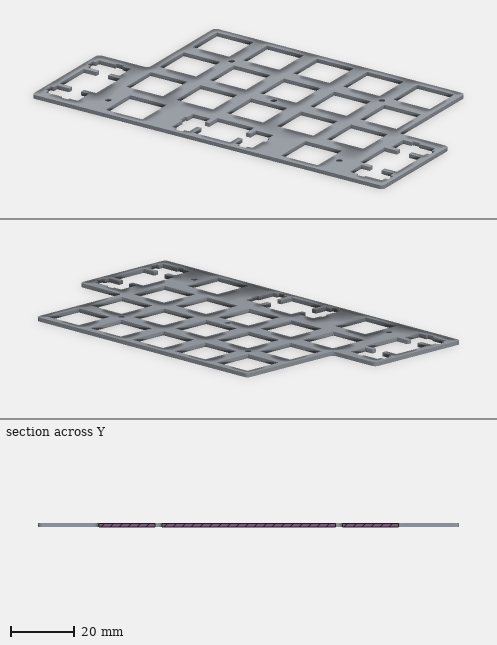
import cadquery as cq

plate_width = 133.4
key_pitch = plate_width / 7
plate_depth = 4 * key_pitch
upper_width = 5 * key_pitch
lower_depth = 2 * key_pitch
plate_thickness = 1.3
corner_radius = 1.3

switch_size = 14.0
grid_columns = 5
grid_rows = 3
bottom_key_x = 1.75 * key_pitch
bottom_row_y = 0.5 * key_pitch
side_key_x = 3 * key_pitch
side_key_y = key_pitch

stabilizer_offset = 12.0
housing_width = 6.7
housing_top = 5.5
housing_bottom = -6.8
clip_width = 3.1
clip_bottom = -8.0
side_notch_reach = 16.1
side_notch_bottom = -0.5
wire_slot_half_height = 2.3

hole_diameter = 2.1
upper_hole_x = 1.5 * key_pitch
upper_hole_y = 3 * key_pitch
middle_hole_y = 2 * key_pitch
lower_hole_x = 43.9


def box_between(x_min, x_max, y_min, y_max):
    """Box through the plate thickness between the given X and Y limits."""
    return (
        cq.Workplane("XY")
        .box(x_max - x_min, y_max - y_min, plate_thickness, centered=False)
        .translate((x_min, y_min, 0))
    )


def make_plate():
    """Stepped outline, centred in X, front edge on Y = 0, with every corner rounded."""
    lower = box_between(-plate_width / 2, plate_width / 2, 0, lower_depth)
    upper = box_between(-upper_width / 2, upper_width / 2, 0, plate_depth)
    return lower.union(upper).edges("|Z").fillet(corner_radius)


def make_switch_cutouts(centers):
    """Square switch openings at the given centres."""
    return (
        cq.Workplane("XY")
        .pushPoints(centers)
        .rect(switch_size, switch_size)
        .extrude(plate_thickness)
    )


def make_stabilized_cutout():
    """Switch opening joined to a stabilizer housing on each side, clips toward -Y."""
    cutout = make_switch_cutouts([(0, 0)])
    for side in (-1, 1):
        center = side * stabilizer_offset
        housing = box_between(
            center - housing_width / 2, center + housing_width / 2, housing_bottom, housing_top
        )
        clip = box_between(center - clip_width / 2, center + clip_width / 2, clip_bottom, housing_top)
        cutout = cutout.union(housing).union(clip)
    wire_slot = box_between(
        -stabilizer_offset, stabilizer_offset, -wire_slot_half_height, wire_slot_half_height
    )
    side_notches = box_between(
        -side_notch_reach, side_notch_reach, side_notch_bottom, wire_slot_half_height
    )
    return cutout.union(wire_slot).union(side_notches)


def make_mounting_holes():
    """Five round screw holes."""
    centers = [(0, middle_hole_y)]
    for side in (-1, 1):
        centers.append((side * upper_hole_x, upper_hole_y))
        centers.append((side * lower_hole_x, bottom_row_y))
    return cq.Workplane("XY").pushPoints(centers).circle(hole_diameter / 2).extrude(plate_thickness)


switch_centers = [(-bottom_key_x, bottom_row_y), (bottom_key_x, bottom_row_y)]
for row in range(grid_rows):
    for column in range(grid_columns):
        grid_x = (column - (grid_columns - 1) / 2) * key_pitch
        grid_y = plate_depth - (row + 0.5) * key_pitch
        switch_centers.append((grid_x, grid_y))

space_key = make_stabilized_cutout().translate((0, bottom_row_y, 0))
left_key = (
    make_stabilized_cutout()
    .rotate((0, 0, 0), (0, 0, 1), -90)
    .translate((-side_key_x, side_key_y, 0))
)
right_key = left_key.mirror("YZ")

result = (
    make_plate()
    .cut(make_switch_cutouts(switch_centers))
    .cut(space_key)
    .cut(left_key)
    .cut(right_key)
    .cut(make_mounting_holes())
)